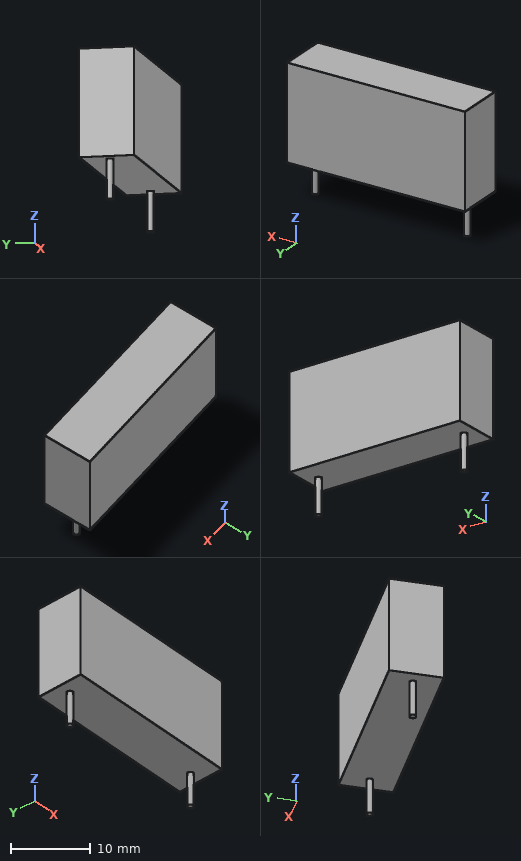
import cadquery as cq

case_length = 26.8
case_width = 7.18
total_height = 19.2
lead_drop = 5.17
case_height = total_height - lead_drop

lead_diameter = 0.85
lead_pitch = 22.85
bridge_height = case_height / 2


def make_lead():
    """One U-shaped wire: two vertical legs and a horizontal bridge, mitred at the corners."""
    half_pitch = lead_pitch / 2
    path = (
        cq.Workplane("XZ")
        .moveTo(-half_pitch, -lead_drop)
        .lineTo(-half_pitch, bridge_height)
        .lineTo(half_pitch, bridge_height)
        .lineTo(half_pitch, -lead_drop)
    )
    return (
        cq.Workplane("XY", origin=(-half_pitch, 0, -lead_drop))
        .circle(lead_diameter / 2)
        .sweep(path, transition="right")
    )


def make_case(lead):
    """Plain block with a matching channel for the lead."""
    block = cq.Workplane("XY").box(
        case_length, case_width, case_height, centered=(True, True, False)
    )
    return block.cut(lead).solids()


lead = make_lead()
case = make_case(lead)

result = cq.Compound.makeCompound([case.val(), lead.val()])